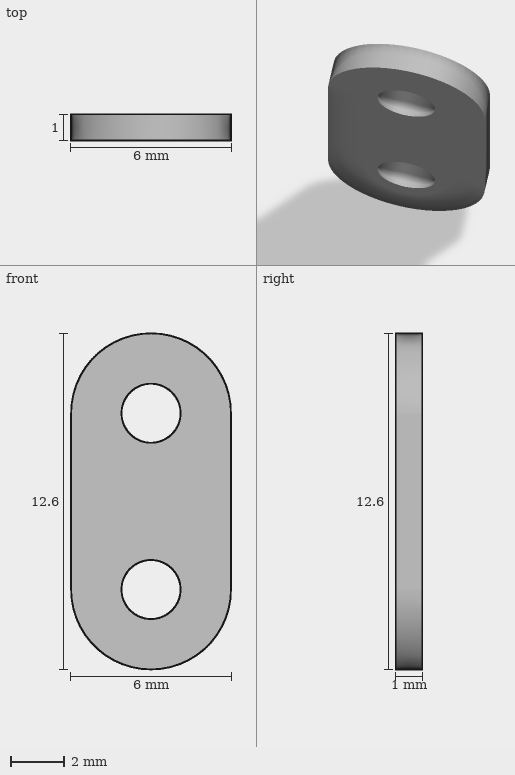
import cadquery as cq

length = 12.6
width = 6.0
thickness = 1.0
hole_diameter = 2.2

hole_spacing = length - width
hole_centers = [(0, -hole_spacing / 2), (0, hole_spacing / 2)]

plate = cq.Workplane("XZ").slot2D(length, width, angle=90).extrude(thickness)

result = plate.faces("<Y").workplane().pushPoints(hole_centers).hole(hole_diameter)